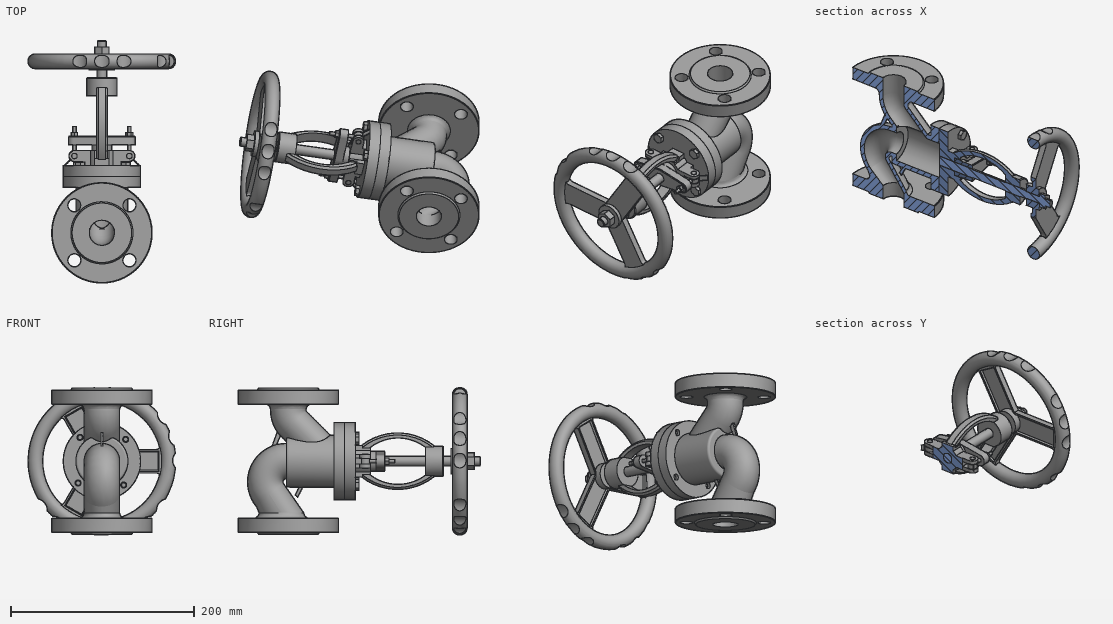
import cadquery as cq
import math


face_to_face = 160.0
flange_d = 110.0
flange_t = 18.0
raised_face_d = 68.0
raised_face_top_d = 65.0
raised_face_h = 2.0
flange_edge_chamfer = 0.7
flange_hole_d = 14.0
flange_hole_circle_d = 85.0
bore_d = 27.5
pipe_d = 39.0
pipe_r = pipe_d / 2
flange_inner_z = face_to_face / 2 - flange_t
neck_flare = 4.0
neck_flare_h = 5.5

chamber_d = 57.0
chamber_end_y = -2.2
chamber_end_fillet = 2.5
chamber_bore_d = 44.0
chamber_floor_y = 4.0

inlet_bend_r = 20.0
inlet_bend_z = 55.0
inlet_bend_angle = 45.0
inlet_run = 42.0

outlet_bend_r = 22.7
outlet_bend_y = -2.5
outlet_bend_angle = 130.0
outlet_neck_y = -7.5
outlet_neck_stretch = 5.0

web_t = 2.4
upper_web = [(-12.4, 31.5), (-18.2, 15.5), (-14.0, 15.0), (-8.0, 29.0)]
lower_web = [(16.8, -26.5), (10.3, -39.5), (7.5, -37.0), (12.5, -26.5)]

joint_d = 84.71
joint_y = 61.4
joint_body_t = 11.7
joint_bonnet_t = 11.9
body_joint_back_y = joint_y - joint_body_t
bonnet_top_y = joint_y + joint_bonnet_t
joint_bolt_circle_r = 35.3
joint_bolt_turn = 2.5
joint_bolt_d = 6.0
joint_bolt_hole_d = 6.6
joint_bolt_head_af = 10.0
joint_bolt_head_h = 4.0
joint_bolt_tip_y = body_joint_back_y + 3.0
joint_bolt_tip_chamfer = 0.5

neck_r = 14.3
neck_top_y = 90.0
yoke_foot_w = 16.0
yoke_foot_h = 8.0
yoke_foot_z = 17.3
yoke_w = 12.2
yoke_edge_chamfer = 2.4
yoke_peak_y = 119.5
yoke_outer_z = 31.0
yoke_inner_z = 25.2
yoke_outer_end_y = 159.0
yoke_inner_foot_z = 14.5
yoke_overlap = 1.0
yoke_head_r = 16.6
yoke_head_y = 149.7
yoke_head_h = 20.0
yoke_head_chamfer = 1.0

lug_x = 30.0
lug_r = 6.1
lug_y = neck_top_y - lug_r
lug_z = 7.5
lug_gap = 6.0
lug_post_x = 21.0
lug_pin_d = 6.0
lug_pin_proud = 0.5
lug_brace_t = 0.9
lug_brace_w = 6.6
lug_brace_top = (35.0, 80.0)
lug_brace_foot_x = 41.6

swing_bolt_d = 4.0
swing_bolt_tip_d = 3.24
swing_bolt_tip_y = 116.4
swing_eye_r = 5.2
swing_nut_af = 7.0
swing_nut_h = 4.0

gland_y = 96.0
gland_t = 9.8
gland_lobe_r = 6.6
gland_hub_r = 11.0
gland_hole_d = 4.4
gland_edge_chamfer = 0.9
gland_sleeve_bottom_y = 82.0

stem_d = 11.0
stem_thread_d = 10.0
stem_tip_d = 8.38
stem_top_y = 210.0
stem_nut_af = 16.0
stem_nut_top_y = 203.3

wheel_r = 80.84
wheel_tube_r = 8.15
wheel_y = 187.4
hub_r = 14.0
hub_bottom_y = 177.7
hub_top_y = 195.3
spoke_count = 3
spoke_w = 26.0
spoke_t = 7.0
spoke_lip = 2.0
spoke_recess_depth = 2.0
spoke_recess_taper = 30.0
spoke_flare = 5.0
spoke_flare_bulge = 0.3
grip_group_count = 5
grip_pitch = 17.5
grip_cut_r = 12.0
grip_depth = 3.4
rim_seam_angle = 54.0


def along_y(y):
    """Workplane whose normal is +Y, with X across and its second axis along -Z."""
    return cq.Workplane("XZ", origin=(0, y, 0)).transformed(rotate=(180, 0, 0))


def disc(y, height, radius, x=0, z=0):
    return along_y(y).center(x, -z).circle(radius).extrude(height)


def hexagon(y, height, across_flats, x=0, z=0, turn=0):
    """Hexagonal prism along Y; at zero turn two of its corners point along Z."""
    corner_d = across_flats / math.cos(math.radians(30))
    prism = along_y(y).polygon(6, corner_d).extrude(height)
    return prism.rotate((0, 0, 0), (0, 1, 0), 90 + turn).translate((x, 0, z))


def plate_yz(points, width):
    return cq.Workplane("YZ").polyline(points).close().extrude(width / 2, both=True)


def pipe_flange(side):
    """Flange with its raised face at z = side * face_to_face / 2."""
    rim_h = flange_t - raised_face_h
    flange = cq.Workplane("XY").circle(flange_d / 2).extrude(rim_h)
    flange = flange.faces("<Z or >Z").edges().chamfer(flange_edge_chamfer)
    face = (
        cq.Workplane("XY", origin=(0, 0, rim_h))
        .circle(raised_face_d / 2)
        .workplane(offset=raised_face_h)
        .circle(raised_face_top_d / 2)
        .loft()
    )
    flange = flange.union(face).translate((0, 0, flange_inner_z))
    hole_spacing = flange_hole_circle_d / math.sqrt(2)
    holes = (
        cq.Workplane("XY", origin=(0, 0, flange_inner_z))
        .rect(hole_spacing, hole_spacing, forConstruction=True)
        .vertices()
        .circle(flange_hole_d / 2)
        .extrude(flange_t)
    )
    flange = flange.cut(holes)
    return flange if side > 0 else flange.mirror("XY")


def inlet_pipe(diameter):
    """Pipe from the upper flange, bent 45 degrees towards the chamber."""
    turn = math.radians(inlet_bend_angle)

    def on_bend(angle):
        return (
            inlet_bend_r * (1 - math.cos(angle)),
            inlet_bend_z - inlet_bend_r * math.sin(angle),
        )

    end_y, end_z = on_bend(turn)
    path = (
        cq.Workplane("YZ")
        .moveTo(0, face_to_face / 2)
        .lineTo(0, inlet_bend_z)
        .threePointArc(on_bend(turn / 2), (end_y, end_z))
        .lineTo(end_y + inlet_run * math.sin(turn), end_z - inlet_run * math.cos(turn))
    )
    start = cq.Workplane("XY", origin=(0, 0, face_to_face / 2))
    return start.circle(diameter / 2).sweep(path)


def outlet_bend_point(degrees):
    angle = math.radians(degrees)
    return (
        outlet_bend_y - outlet_bend_r * math.sin(angle),
        outlet_bend_r * (math.cos(angle) - 1),
    )


def outlet_bend(diameter, start_y):
    """Pipe from start_y on the chamber axis, curling down and back towards the lower flange."""
    path = (
        cq.Workplane("YZ")
        .moveTo(start_y, 0)
        .lineTo(outlet_bend_y, 0)
        .threePointArc(outlet_bend_point(outlet_bend_angle / 2), outlet_bend_point(outlet_bend_angle))
    )
    return cq.Workplane("XZ", origin=(0, start_y, 0)).circle(diameter / 2).sweep(path)


def outlet_neck(radius, stretch, end_y, end_z):
    """Transition from the end of the outlet bend to an ellipse lying flat at end_z."""
    y, z = outlet_bend_point(outlet_bend_angle)
    angle = math.radians(outlet_bend_angle)
    bend_end = cq.Plane(
        origin=(0, y, z), xDir=(1, 0, 0), normal=(0, -math.cos(angle), -math.sin(angle))
    )
    start = cq.Workplane(bend_end).circle(radius).wires().val()
    flat = cq.Plane(origin=(0, end_y, end_z), xDir=(1, 0, 0), normal=(0, 0, -1))
    end = cq.Workplane(flat).ellipse(radius, radius + stretch).wires().val()
    return cq.Workplane(cq.Solid.makeLoft([start, end], True))


def flared_foot(side, center_y, stretch):
    """Widening foot where a pipe meets the inside of its flange."""
    top_z = -(flange_inner_z - neck_flare_h)
    foot = (
        cq.Workplane("XY", origin=(0, center_y, top_z))
        .ellipse(pipe_r, pipe_r + stretch)
        .workplane(offset=-neck_flare_h * 0.6)
        .ellipse(pipe_r + neck_flare * 0.3, pipe_r + stretch + neck_flare * 0.3)
        .workplane(offset=-neck_flare_h * 0.4)
        .ellipse(pipe_r + neck_flare, pipe_r + stretch + neck_flare)
        .loft(ruled=False)
    )
    return foot if side < 0 else foot.mirror("XY")


def joint_bolt_places():
    for quarter in range(4):
        angle = math.radians(45 + 90 * quarter - joint_bolt_turn)
        yield joint_bolt_circle_r * math.cos(angle), joint_bolt_circle_r * math.sin(angle)


def joint_bolt_holes(part):
    length = joint_body_t + joint_bonnet_t
    for x, z in joint_bolt_places():
        part = part.cut(disc(body_joint_back_y, length, joint_bolt_hole_d / 2, x, z))
    return part


def make_body():
    chamber = disc(chamber_end_y, joint_y - chamber_end_y, chamber_d / 2)
    chamber = chamber.faces("<Y").edges().fillet(chamber_end_fillet)
    chamber = chamber.union(disc(body_joint_back_y, joint_body_t, joint_d / 2))
    lower_neck_z = -(flange_inner_z - neck_flare_h)
    pieces = [
        inlet_pipe(pipe_d),
        outlet_bend(pipe_d, 0),
        outlet_neck(pipe_r, outlet_neck_stretch, outlet_neck_y, lower_neck_z),
        flared_foot(1, 0, 0),
        flared_foot(-1, outlet_neck_y, outlet_neck_stretch),
        pipe_flange(1),
        pipe_flange(-1),
        plate_yz(upper_web, web_t),
        plate_yz(lower_web, web_t),
    ]
    body = chamber
    for piece in pieces:
        body = body.union(piece)
    body = body.cut(inlet_pipe(bore_d))
    body = body.cut(disc(chamber_floor_y, joint_y - chamber_floor_y, chamber_bore_d / 2))
    body = body.cut(outlet_bend(bore_d, chamber_floor_y))
    body = body.cut(outlet_neck(bore_d / 2, 0, 0, -flange_inner_z))
    body = body.cut(
        cq.Workplane("XY", origin=(0, 0, -face_to_face / 2)).circle(bore_d / 2).extrude(flange_t)
    )
    return joint_bolt_holes(body)


def yoke_arm():
    """Arched arm on the +Z side, with its outer edges bevelled."""
    foot_end_y = 2 * yoke_peak_y - yoke_outer_end_y
    arm = (
        cq.Workplane("YZ")
        .moveTo(yoke_outer_end_y, yoke_foot_z)
        .threePointArc((yoke_peak_y, yoke_outer_z), (foot_end_y, yoke_foot_z))
        .lineTo(foot_end_y, yoke_inner_foot_z)
        .lineTo(neck_top_y - yoke_overlap, yoke_inner_foot_z)
        .threePointArc((yoke_peak_y, yoke_inner_z), (yoke_head_y + yoke_overlap, yoke_inner_foot_z))
        .lineTo(yoke_outer_end_y, yoke_inner_foot_z)
        .close()
        .extrude(yoke_w / 2, both=True)
    )
    return arm.edges(">Z").chamfer(yoke_edge_chamfer)


def lug():
    """Forked lug on the +X side, with its cross pin and a thin brace to the flange."""
    profile = (
        cq.Workplane("XY")
        .moveTo(0, neck_top_y)
        .lineTo(lug_x, neck_top_y)
        .threePointArc((lug_x + lug_r, lug_y), (lug_x, lug_y - lug_r))
        .lineTo(lug_post_x, lug_y - lug_r)
        .lineTo(lug_post_x, bonnet_top_y)
        .lineTo(0, bonnet_top_y)
        .close()
    )
    fork = profile.extrude(lug_z, both=True)
    slot = cq.Workplane("XY").box(
        lug_r + lug_x, neck_top_y, lug_gap, centered=(False, False, True)
    ).translate((lug_post_x, bonnet_top_y, 0))
    pin_half = lug_z + lug_pin_proud
    pin = cq.Workplane("XY").center(lug_x, lug_y).circle(lug_pin_d / 2).extrude(pin_half, both=True)
    top_x, top_y = lug_brace_top
    brace_run = lug_brace_t * math.sqrt(2)
    brace = (
        cq.Workplane("XY")
        .moveTo(top_x, top_y)
        .lineTo(lug_brace_foot_x, bonnet_top_y)
        .lineTo(lug_brace_foot_x - brace_run, bonnet_top_y)
        .lineTo(top_x - brace_run, top_y)
        .close()
        .extrude(lug_brace_w / 2, both=True)
    )
    return fork.cut(slot).union(pin).union(brace)


def swing_bolt(nut_turn):
    """Eye bolt on the +X lug with its nut resting on the gland."""
    eye = cq.Workplane("XY").center(lug_x, lug_y).circle(swing_eye_r).extrude(lug_gap / 2, both=True)
    shank = disc(lug_y, swing_bolt_tip_y - lug_y, swing_bolt_d / 2, lug_x)
    shank = shank.faces(">Y").chamfer((swing_bolt_d - swing_bolt_tip_d) / 2)
    nut = hexagon(gland_y + gland_t, swing_nut_h, swing_nut_af, lug_x, 0, nut_turn)
    return eye.union(shank).union(nut)


def yoke_foot(height, half_depth):
    foot = cq.Workplane("XY").box(yoke_foot_w, height, 2 * half_depth, centered=(True, False, True))
    return foot.translate((0, bonnet_top_y, 0))


def make_bonnet():
    neck_h = neck_top_y - bonnet_top_y
    bonnet = disc(joint_y, joint_bonnet_t, joint_d / 2)
    bonnet = bonnet.union(disc(bonnet_top_y, neck_h, neck_r))
    bonnet = bonnet.union(yoke_foot(neck_h, yoke_inner_foot_z))
    bonnet = bonnet.union(yoke_foot(yoke_foot_h, yoke_foot_z))
    head = disc(yoke_head_y, yoke_head_h, yoke_head_r).faces(">Y").chamfer(yoke_head_chamfer)
    arm = yoke_arm()
    bonnet = bonnet.union(head).union(arm).union(arm.mirror("XY"))
    bonnet = bonnet.union(lug()).union(lug().mirror("YZ"))
    bonnet = bonnet.union(swing_bolt(30)).union(swing_bolt(0).mirror("YZ"))
    bonnet = bonnet.cut(disc(joint_y, stem_top_y - joint_y, stem_d / 2))
    bonnet = bonnet.cut(disc(gland_sleeve_bottom_y, gland_y - gland_sleeve_bottom_y, gland_hub_r))
    return joint_bolt_holes(bonnet)


def make_gland():
    """Two-lobed follower plate with tangent sides and a sleeve entering the bonnet neck."""
    lean = math.asin((gland_hub_r - gland_lobe_r) / lug_x)
    hub_point = (gland_hub_r * math.sin(lean), gland_hub_r * math.cos(lean))
    lobe_point = (lug_x + gland_lobe_r * math.sin(lean), gland_lobe_r * math.cos(lean))
    plate = (
        along_y(gland_y)
        .moveTo(*hub_point)
        .lineTo(*lobe_point)
        .threePointArc((lug_x + gland_lobe_r, 0), (lobe_point[0], -lobe_point[1]))
        .lineTo(hub_point[0], -hub_point[1])
        .threePointArc((0, -gland_hub_r), (-hub_point[0], -hub_point[1]))
        .lineTo(-lobe_point[0], -lobe_point[1])
        .threePointArc((-lug_x - gland_lobe_r, 0), (-lobe_point[0], lobe_point[1]))
        .lineTo(-hub_point[0], hub_point[1])
        .threePointArc((0, gland_hub_r), hub_point)
        .close()
        .extrude(gland_t)
    )
    plate = plate.faces(">Y").chamfer(gland_edge_chamfer)
    gland = plate.union(disc(gland_sleeve_bottom_y, gland_y - gland_sleeve_bottom_y, gland_hub_r))
    gland = gland.cut(disc(gland_sleeve_bottom_y, stem_top_y - gland_sleeve_bottom_y, stem_d / 2))
    for x in (-lug_x, lug_x):
        gland = gland.cut(disc(gland_y, gland_t, gland_hole_d / 2, x))
    return gland


def make_stem():
    """Stem with a reduced threaded end and the nut that holds the handwheel."""
    tip = disc(hub_bottom_y, stem_top_y - hub_bottom_y, stem_thread_d / 2)
    tip = tip.faces(">Y").chamfer((stem_thread_d - stem_tip_d) / 2)
    stem = disc(joint_y, hub_bottom_y - joint_y, stem_d / 2).union(tip)
    return stem.union(hexagon(hub_top_y, stem_nut_top_y - hub_top_y, stem_nut_af))


def spoke(angle):
    """Spoke with a recessed panel, flaring where it meets the rim."""
    rim_inner_r = wheel_r - 2 * wheel_tube_r
    reach = rim_inner_r + wheel_tube_r / 2
    half = spoke_w / 2
    bulge = spoke_flare * spoke_flare_bulge
    bar = (
        along_y(wheel_y - spoke_t / 2)
        .moveTo(0, -half)
        .lineTo(rim_inner_r - spoke_flare, -half)
        .threePointArc((rim_inner_r - bulge, -half - bulge), (rim_inner_r, -half - spoke_flare))
        .lineTo(reach, -half - spoke_flare)
        .lineTo(reach, half + spoke_flare)
        .lineTo(rim_inner_r, half + spoke_flare)
        .threePointArc((rim_inner_r - bulge, half + bulge), (rim_inner_r - spoke_flare, half))
        .lineTo(0, half)
        .close()
        .extrude(spoke_t)
    )
    panel_end = rim_inner_r - spoke_lip
    recess = (
        along_y(wheel_y - spoke_t / 2)
        .center(panel_end / 2, 0)
        .rect(panel_end, spoke_w - 2 * spoke_lip)
        .extrude(spoke_recess_depth, taper=spoke_recess_taper)
    )
    return bar.cut(recess).rotate((0, 0, 0), (0, 1, 0), -angle)


def make_handwheel():
    """Round rim with groups of finger grips, three spokes and a bored hub."""
    rim_r = wheel_r - wheel_tube_r
    rim = (
        cq.Workplane("XY")
        .moveTo(rim_r, wheel_y + wheel_tube_r)
        .threePointArc((wheel_r, wheel_y), (rim_r, wheel_y - wheel_tube_r))
        .threePointArc((rim_r - wheel_tube_r, wheel_y), (rim_r, wheel_y + wheel_tube_r))
        .close()
        .revolve(360, (0, 0, 0), (0, 1, 0), clean=False)
        .rotate((0, 0, 0), (0, 1, 0), rim_seam_angle)
    )
    cut_center_r = wheel_r - grip_depth + grip_cut_r
    for group in range(grip_group_count):
        for step in (-1, 0, 1):
            angle = math.radians(90 + 360 / grip_group_count * group + grip_pitch * step)
            x = cut_center_r * math.cos(angle)
            z = cut_center_r * math.sin(angle)
            rim = rim.cut(disc(wheel_y - spoke_w / 2, spoke_w, grip_cut_r, x, z), clean=False)
    wheel = rim
    for index in range(spoke_count):
        wheel = wheel.union(spoke(index * 360 / spoke_count))
    wheel = wheel.union(disc(hub_bottom_y, hub_top_y - hub_bottom_y, hub_r))
    return wheel.cut(disc(hub_bottom_y, hub_top_y - hub_bottom_y, stem_thread_d / 2))


def make_joint_bolt(x, z):
    shank = disc(joint_bolt_tip_y, bonnet_top_y - joint_bolt_tip_y, joint_bolt_d / 2, x, z)
    shank = shank.faces("<Y").chamfer(joint_bolt_tip_chamfer)
    return shank.union(hexagon(bonnet_top_y, joint_bolt_head_h, joint_bolt_head_af, x, z, joint_bolt_turn))


body = make_body()
bonnet = make_bonnet()
gland = make_gland()
stem = make_stem()
handwheel = make_handwheel()
joint_bolts = [make_joint_bolt(x, z) for x, z in joint_bolt_places()]

result = cq.Compound.makeCompound(
    [body.val(), bonnet.val(), gland.val(), stem.val(), handwheel.val()]
    + [bolt.val() for bolt in joint_bolts]
)